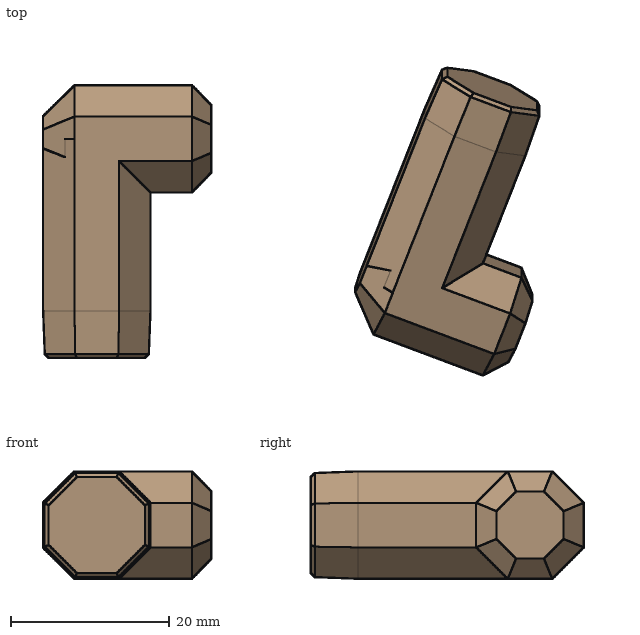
import cadquery as cq
import math

sides = 8
overall_x = 21.3
overall_y = 34.5
width = 13.6
half = width / 2

corner_taper_length = 4.0
corner_taper_inset = 3.95
tip_taper_length = 2.5
tip_taper_inset = 2.55
tip_x = overall_x - half

end_y = overall_y - half
plug_length = 5.97
plug_inset = 0.2
rim_length = 0.52
rim_inset = 0.52
rim_start = end_y - rim_length


def octagon(plane, distance, inset=0.0):
    """Octagon with flats square to the axes, reduced by inset on every flat."""
    flat_radius = half - inset
    corner_diameter = 2 * flat_radius / math.cos(math.pi / sides)
    sketch = cq.Workplane(plane).workplane(offset=distance)
    return sketch.transformed(rotate=(0, 0, 180 / sides)).polygon(sides, corner_diameter).wires().val()


def octagonal_arm(plane, stations):
    """Solid through octagons given as (distance along the axis, inset) pairs."""
    wires = [octagon(plane, distance, inset) for distance, inset in stations]
    return cq.Workplane(cq.Solid.makeLoft(wires, True))


short_arm = octagonal_arm("YZ", [
    (-half, corner_taper_inset),
    (-half + corner_taper_length, 0),
    (tip_x - tip_taper_length, 0),
    (tip_x, tip_taper_inset),
])

long_arm = octagonal_arm("XZ", [
    (0, 0),
    (end_y - plug_length, 0),
    (rim_start, plug_inset),
    (end_y, plug_inset + rim_inset),
])

result = short_arm.union(long_arm)